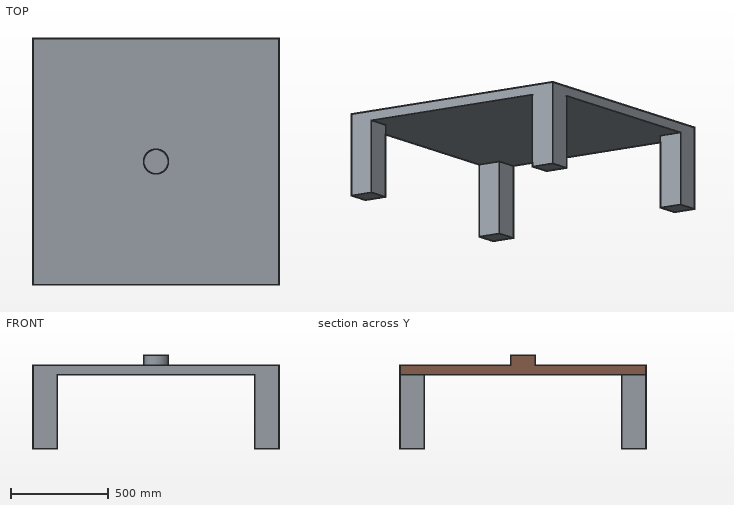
import cadquery as cq

table_side = 1270.0
top_thickness = 51.0
leg_side = 127.0
leg_length = 381.0
boss_diameter = 127.0
boss_height = 51.0

table_height = leg_length + top_thickness
leg_spacing = table_side - leg_side

table_top = (
    cq.Workplane("XY")
    .workplane(offset=leg_length)
    .rect(table_side, table_side)
    .extrude(top_thickness)
)

legs = (
    cq.Workplane("XY")
    .rect(leg_spacing, leg_spacing, forConstruction=True)
    .vertices()
    .rect(leg_side, leg_side)
    .extrude(leg_length)
)

boss = (
    cq.Workplane("XY")
    .workplane(offset=table_height)
    .circle(boss_diameter / 2)
    .extrude(boss_height)
)

result = table_top.union(legs).union(boss)